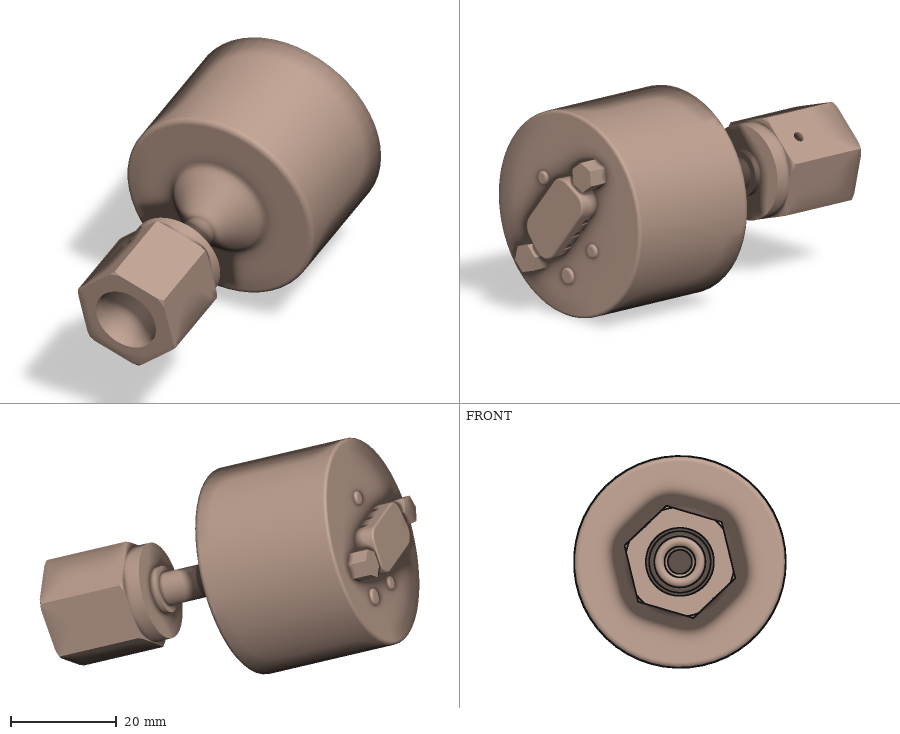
import cadquery as cq
import math

LENGTH = 69.45

HOUSING_DIAMETER = 40.2
HOUSING_FRONT = 37.5
HOUSING_REAR = 65.6
HOUSING_FRONT_FILLET = 1.05
HOUSING_REAR_FILLET = 0.6

STEM_RADIUS = 3.2
CONE_START = 29.65
CONE_BASE_RADIUS = 10.0
CONE_BASE_FILLET = 1.4
GLAND_NECK_RADIUS = 4.5
GLAND_NECK_END = 21.9
COLLAR_RADIUS = 9.3
COLLAR_END = 20.55

NUT_FLATS = 18.95
NUT_LENGTH = 17.4
NUT_ANGLE = 43.6
NUT_FACE_RADIUS = 10.35
NUT_CHAMFER_ANGLE = 30.0
NUT_BORE_RADIUS = 6.45
NUT_BORE_DEPTH = 14.6
PORT_DIAMETER = 2.1
PORT_POSITION = 12.65

GLAND_RADIUS = 5.8
GLAND_FACE = 12.85
BEAD_OUTER_RADIUS = 4.85
BEAD_INNER_RADIUS = 2.9
PASSAGE_RADIUS = 2.3

CONNECTOR_ANGLE = 50.0
SHELL_MEAN_LENGTH = 17.35
SHELL_WIDTH = 9.3
SHELL_TAPER = 10.0
SHELL_CORNER_RADIUS = 3.0
SHELL_RIM_FILLET = 0.4
NOTCH_PITCH = 3.75
NOTCH_WIDTH = 1.45
NOTCH_HEIGHT = 1.9
NOTCH_DEPTH = 0.4
JACK_SPACING = 25.0
JACK_FLATS = 5.0
UPPER_JACK_ANGLE = 24.0
LOWER_JACK_ANGLE = 44.0

BUTTON_RADIUS = 1.4
BUTTON_HEIGHT = 0.6
BUTTON_FILLET = 0.55
BUTTON_OFFSET = 9.0
LOWER_BUTTON_RADIUS = 1.7
LOWER_BUTTON_OFFSET = 12.1


def hex_diameter(flats):
    """Diameter across the corners of a hexagon."""
    return flats / math.cos(math.radians(30))


def cross_plane(y, angle):
    """Plane across the axis, facing +Y, with its local X turned by angle from +X towards +Z."""
    turn = math.radians(angle)
    return cq.Plane(origin=(0, y, 0), xDir=(math.cos(turn), 0, math.sin(turn)), normal=(0, 1, 0))


def disc(radius, start, end):
    return cq.Workplane(cross_plane(start, 0)).circle(radius).extrude(end - start)


def turned(points):
    """Solid of revolution about Y from (radius, Y) points."""
    return cq.Workplane("XY").polyline(points).close().revolve(360, (0, 0), (0, 1))


def make_housing():
    body = disc(HOUSING_DIAMETER / 2, HOUSING_FRONT, HOUSING_REAR)
    body = body.faces("<Y").edges().fillet(HOUSING_FRONT_FILLET)
    body = body.faces(">Y").edges().fillet(HOUSING_REAR_FILLET)
    cone = turned([
        (0, CONE_START),
        (STEM_RADIUS, CONE_START),
        (CONE_BASE_RADIUS, HOUSING_FRONT),
        (0, HOUSING_FRONT),
    ])
    reach = CONE_BASE_RADIUS + 0.7
    margin = 0.1
    cone_foot = cq.selectors.BoxSelector(
        (-reach, HOUSING_FRONT - margin, -reach),
        (reach, HOUSING_FRONT + margin, reach),
        boundingbox=True,
    )
    return body.union(cone).edges(cone_foot).fillet(CONE_BASE_FILLET)


def make_nut():
    corner_radius = hex_diameter(NUT_FLATS) / 2
    chamfer = (corner_radius - NUT_FACE_RADIUS) * math.tan(math.radians(NUT_CHAMFER_ANGLE))
    hexagon = cq.Workplane(cross_plane(0, NUT_ANGLE)).polygon(6, 2 * corner_radius).extrude(NUT_LENGTH)
    envelope = turned([
        (0, 0),
        (NUT_FACE_RADIUS, 0),
        (corner_radius, chamfer),
        (corner_radius, NUT_LENGTH - chamfer),
        (NUT_FACE_RADIUS, NUT_LENGTH),
        (0, NUT_LENGTH),
    ])
    nut = hexagon.intersect(envelope).union(disc(COLLAR_RADIUS, NUT_LENGTH, COLLAR_END))
    nut = nut.cut(disc(NUT_BORE_RADIUS, 0, NUT_BORE_DEPTH))
    return nut.cut(make_port(corner_radius))


def make_port(reach):
    """Leak-test hole from the middle of the upper -X flat into the bore."""
    turn = math.radians(NUT_ANGLE + 90)
    outward = (math.cos(turn), 0, math.sin(turn))
    plane = cq.Plane(origin=(0, PORT_POSITION, 0), xDir=(0, 1, 0), normal=outward)
    return cq.Workplane(plane).circle(PORT_DIAMETER / 2).extrude(reach)


def make_gland():
    """Flange, rounded sealing bead and stem."""
    gland = disc(GLAND_RADIUS, GLAND_FACE, NUT_LENGTH)
    gland = gland.union(disc(GLAND_NECK_RADIUS, NUT_LENGTH, GLAND_NECK_END))
    gland = gland.union(disc(STEM_RADIUS, GLAND_NECK_END, CONE_START))
    bead_radius = (BEAD_OUTER_RADIUS - BEAD_INNER_RADIUS) / 2
    bead_centre = (BEAD_OUTER_RADIUS + BEAD_INNER_RADIUS) / 2
    bead = (
        cq.Workplane("XY")
        .center(bead_centre, GLAND_FACE)
        .circle(bead_radius)
        .revolve(360, (-bead_centre, 0), (-bead_centre, 1))
    )
    return gland.union(bead)


def make_passage():
    """Blind passage through the stem, flared where it meets the bead."""
    flare = BEAD_INNER_RADIUS - PASSAGE_RADIUS
    return turned([
        (0, GLAND_FACE),
        (BEAD_INNER_RADIUS, GLAND_FACE),
        (PASSAGE_RADIUS, GLAND_FACE + flare),
        (PASSAGE_RADIUS, HOUSING_FRONT),
        (0, HOUSING_FRONT),
    ])


def make_shell():
    """D-shaped connector shell, wider on its lower -X side, with tapering notches at its foot."""
    height = LENGTH - HOUSING_REAR
    half_width = SHELL_WIDTH / 2
    taper = half_width * math.tan(math.radians(SHELL_TAPER))
    wide = SHELL_MEAN_LENGTH / 2 + taper
    narrow = SHELL_MEAN_LENGTH / 2 - taper
    plane = cross_plane(HOUSING_REAR, -CONNECTOR_ANGLE)
    shell = (
        cq.Workplane(plane)
        .polyline([(-wide, half_width), (wide, half_width), (narrow, -half_width), (-narrow, -half_width)])
        .close()
        .extrude(height)
        .edges("|Y")
        .fillet(SHELL_CORNER_RADIUS)
        .faces(">Y")
        .edges()
        .fillet(SHELL_RIM_FILLET)
    )
    across = cq.Plane(origin=plane.origin.toTuple(), xDir=plane.yDir.toTuple(), normal=plane.xDir.toTuple())
    for side in (-1, 1):
        section = [
            (side * half_width, 0),
            (side * half_width, NOTCH_HEIGHT),
            (side * (half_width - NOTCH_DEPTH), 0),
        ]
        for place in (-NOTCH_PITCH, 0, NOTCH_PITCH):
            notch = (
                cq.Workplane(across)
                .workplane(offset=place - NOTCH_WIDTH / 2)
                .polyline(section)
                .close()
                .extrude(NOTCH_WIDTH)
            )
            shell = shell.cut(notch)
    return shell


def make_jack_nut(place, corner_angle):
    """Hexagonal jack nut at a signed distance along the connector's length."""
    plane = cross_plane(HOUSING_REAR, corner_angle)
    nut = cq.Workplane(plane).polygon(6, hex_diameter(JACK_FLATS)).extrude(LENGTH - HOUSING_REAR)
    return nut.translate(cross_plane(HOUSING_REAR, -CONNECTOR_ANGLE).xDir * place)


def make_button(radius, x, z):
    button = disc(radius, HOUSING_REAR, HOUSING_REAR + BUTTON_HEIGHT).faces(">Y").edges().fillet(BUTTON_FILLET)
    return button.translate((x, 0, z))


side_direction = math.radians(90 - CONNECTOR_ANGLE)
button_x = BUTTON_OFFSET * math.cos(side_direction)
button_z = BUTTON_OFFSET * math.sin(side_direction)

result = (
    make_housing()
    .union(make_nut())
    .union(make_gland())
    .cut(make_passage())
    .union(make_shell())
    .union(make_jack_nut(-JACK_SPACING / 2, UPPER_JACK_ANGLE))
    .union(make_jack_nut(JACK_SPACING / 2, LOWER_JACK_ANGLE))
    .union(make_button(BUTTON_RADIUS, button_x, button_z))
    .union(make_button(BUTTON_RADIUS, -button_x, -button_z))
    .union(make_button(LOWER_BUTTON_RADIUS, 0, -LOWER_BUTTON_OFFSET))
)